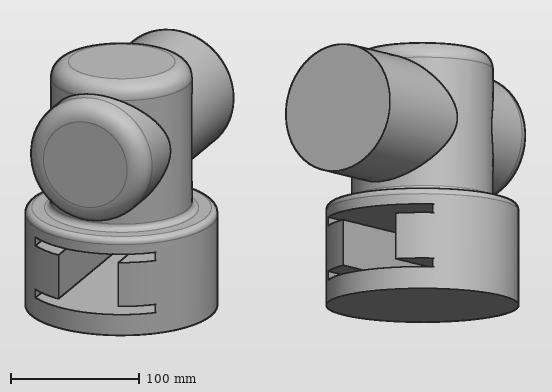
import cadquery as cq

base_diameter = 150.0
base_height = 80.0
edge_radius = 5.0

column_diameter = 110.0
total_height = 200.0
column_top_radius = 13.5

pipe_diameter = 100.0
pipe_axis_height = 140.0
pipe_front_reach = 78.0
pipe_back_reach = 112.8
pipe_cap_radius = 15.0

window_center_height = 42.0
window_height = 49.5
window_opening_width = 50.0
groove_width = 100.0
groove_height = 6.8


def make_base_and_column():
    """Collar and column with rounded rims and a filleted joint."""
    base = cq.Workplane("XY").circle(base_diameter / 2).extrude(base_height)
    base = base.faces(">Z").edges().fillet(edge_radius)
    column = cq.Workplane("XY").circle(column_diameter / 2).extrude(total_height)
    column = column.faces(">Z").edges().fillet(column_top_radius)

    column_radius = column_diameter / 2
    fillet_center = (column_radius + edge_radius, base_height + edge_radius)
    diagonal = edge_radius / 2**0.5
    joint_fillet = (
        cq.Workplane("XZ")
        .moveTo(0, base_height)
        .lineTo(column_radius + edge_radius, base_height)
        .threePointArc(
            (fillet_center[0] - diagonal, fillet_center[1] - diagonal),
            (column_radius, fillet_center[1]),
        )
        .lineTo(0, fillet_center[1])
        .close()
        .revolve(360, (0, 0, 0), (0, 1, 0))
    )
    return base.union(column).union(joint_fillet)


def make_pipe():
    """Horizontal pipe crossing the column, rounded at its front end."""
    pipe = (
        cq.Workplane("XZ", origin=(0, pipe_back_reach, pipe_axis_height))
        .circle(pipe_diameter / 2)
        .extrude(pipe_back_reach + pipe_front_reach)
    )
    return pipe.faces("<Y").edges().fillet(pipe_cap_radius)


def make_window():
    """Central opening with a wider flat groove along its top and bottom."""
    opening = cq.Workplane("XY").box(window_opening_width, base_diameter, window_height)
    groove_offset = (window_height - groove_height) / 2
    for side in (-1, 1):
        groove = cq.Workplane("XY").box(groove_width, base_diameter, groove_height)
        opening = opening.union(groove.translate((0, 0, side * groove_offset)))
    return opening.translate((0, 0, window_center_height))


result = make_base_and_column().union(make_pipe()).cut(make_window())